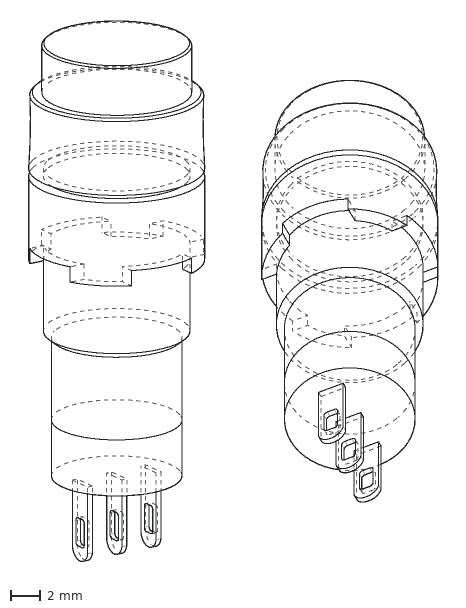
import cadquery as cq

button_radius = 5.1
button_top = 36.5
button_chamfer = 0.15

bezel_top = 33.0
bezel_edge_height = 0.2
groove_top = 27.55
groove_bottom = 27.0
collar_bottom = 22.15
teeth_bottom = 21.05
barrel_bottom = 15.9
shoulder_bottom = 15.48

collar_radius = 6.005
bezel_waist_radius = 5.895
bezel_top_radius = 5.93
bezel_edge_width = 0.2
barrel_radius = 5.0
notch_width = 4.93
notch_overrun = 0.35

base_radius = 4.45
base_top = 9.55
base_bottom = 5.55
terminal_width = 1.85
terminal_thickness = 0.4
terminal_pitch = 2.8
terminal_tip_height = 0.75
terminal_count = 3
eye_width = 1.02
eye_bottom = 1.02
eye_top = 3.03
eye_corner_radius = 0.25


def make_button():
    """Round push button standing on the top face of the housing."""
    return (
        cq.Workplane("XY")
        .workplane(offset=bezel_top)
        .circle(button_radius)
        .extrude(button_top - bezel_top)
        .faces(">Z")
        .chamfer(button_chamfer)
    )


def make_housing():
    """Waisted bezel, groove, notched collar and barrel turned about Z."""
    bezel_edge_bottom = bezel_top - bezel_edge_height
    waist_level = (bezel_edge_bottom + groove_top) / 2
    turned = (
        cq.Workplane("XZ")
        .moveTo(0, base_top)
        .lineTo(base_radius, base_top)
        .lineTo(base_radius, shoulder_bottom)
        .lineTo(barrel_radius, barrel_bottom)
        .lineTo(barrel_radius, teeth_bottom)
        .lineTo(collar_radius, teeth_bottom)
        .lineTo(collar_radius, groove_bottom)
        .lineTo(barrel_radius, groove_bottom)
        .lineTo(barrel_radius, groove_top)
        .lineTo(collar_radius, groove_top)
        .threePointArc((bezel_waist_radius, waist_level), (bezel_top_radius, bezel_edge_bottom))
        .lineTo(bezel_top_radius - bezel_edge_width, bezel_top)
        .lineTo(0, bezel_top)
        .close()
        .revolve(360, (0, 0), (0, 1))
    )
    return turned.cut(make_collar_notches())


def make_collar_notches():
    """Crossed slots that leave four teeth around, but not into, the barrel."""
    notch_length = 2 * (collar_radius + notch_overrun)
    level = cq.Workplane("XY").workplane(offset=teeth_bottom)
    notch_height = collar_bottom - teeth_bottom
    slot_x = level.rect(notch_length, notch_width).extrude(notch_height)
    slot_y = level.rect(notch_width, notch_length).extrude(notch_height)
    barrel = level.circle(barrel_radius).extrude(notch_height)
    return slot_x.union(slot_y).cut(barrel)


def make_terminal(y_center):
    """Flat solder tag with a rounded tip and an eye through its thickness."""
    half_width = terminal_width / 2
    plane = cq.Workplane("XZ", origin=(0, y_center, 0))
    tag = (
        plane.moveTo(-half_width, base_bottom)
        .lineTo(-half_width, terminal_tip_height)
        .threePointArc((0, 0), (half_width, terminal_tip_height))
        .lineTo(half_width, base_bottom)
        .close()
        .extrude(terminal_thickness / 2, both=True)
    )
    eye = (
        plane.center(0, (eye_bottom + eye_top) / 2)
        .rect(eye_width, eye_top - eye_bottom)
        .extrude(terminal_thickness, both=True)
        .edges("|Y")
        .fillet(eye_corner_radius)
    )
    return tag.cut(eye)


def make_base():
    """Round base block with a row of solder terminals below it."""
    base = (
        cq.Workplane("XY")
        .workplane(offset=base_bottom)
        .circle(base_radius)
        .extrude(base_top - base_bottom)
    )
    for index in range(terminal_count):
        y_center = (index - (terminal_count - 1) / 2) * terminal_pitch
        base = base.union(make_terminal(y_center))
    return base


button = make_button()
housing = make_housing()
base = make_base()

result = cq.Compound.makeCompound([button.val(), housing.val(), base.val()])